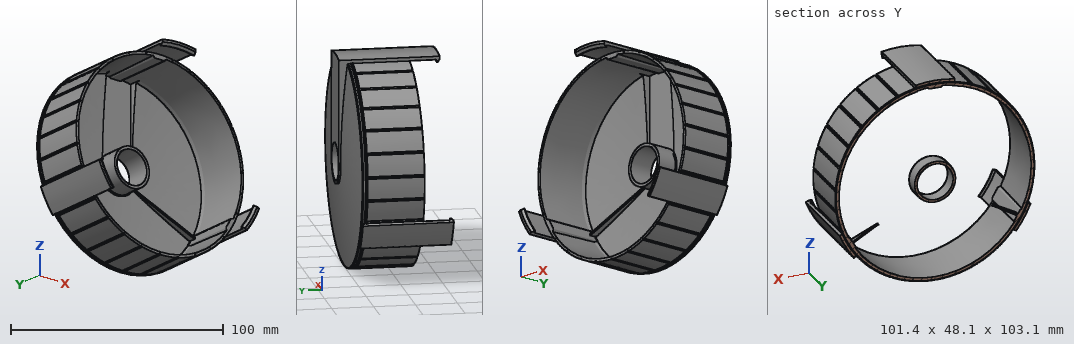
import cadquery as cq
import math


DRUM_R = 50.7
RIM_INNER_R = 49.4
ROOT_INNER_R = 49.0
FLANGE_BACK_Y = 29.8
FLANGE_CHAMFER = 0.5
RING_GROOVE_Y = 27.7
V_GROOVE_WIDTH = 1.1
V_GROOVE_DEPTH = 0.5
GROOVE_PITCH = 12.7
GROOVES_PER_SIDE = 4

DOME_RISE = 3.3
END_THICKNESS = 1.3
LEDGE_R = 48.6
LEDGE_FRONT_Y = 26.5
LEDGE_BACK_Y = 28.1

BORE_R = 18.0 / 2
HUB_R = 21.0 / 2
HUB_FRONT_Y = 20.7
HUB_FLARE = 0.5
BACK_Y = 33.8
BOX_FLOOR = 1.0

CLIP_OUTER_R = 52.4
CLIP_TIP_Y = -14.3
HOOK_R = 49.6
HOOK_START_Y = -12.4
HOOK_CREST_START_Y = -12.9
HOOK_CREST_END_Y = -13.3
TIP_THICKNESS = 1.3
TOP_CLIP_WIDTH = 20.1
SIDE_CLIP_WIDTH = 14.6
SIDE_CLIP_BACK_Y = 29.1

BAR_R = 48.2
BAR_WIDTH = 6.0
BAR_FILLET = 0.4
SPOKE_WIDTH = 0.9
SPOKE_HUB_Y = 31.5
SPOKE_RIM_Y = 25.0

DOME_EDGE_R = DRUM_R - FLANGE_CHAMFER
DOME_Y = FLANGE_BACK_Y + DOME_RISE
DOME_SPHERE_R = (DOME_EDGE_R**2 + DOME_RISE**2) / (2 * DOME_RISE)
DOME_CENTER_Y = DOME_Y - DOME_SPHERE_R
DOME_INNER_SPHERE_R = DOME_SPHERE_R - END_THICKNESS
BOX_FLOOR_Y = BACK_Y - BOX_FLOOR
AXIS_START = (0, 0, 0)
AXIS_END = (0, 1, 0)


def sphere_y(sphere_r, radius):
    """Y of a sphere centred on the dome's centre, at a distance from the part's axis."""
    return DOME_CENTER_Y + math.sqrt(sphere_r**2 - radius**2)


def revolved(outline):
    """Turn a closed (radius, y) outline around the part's axis."""
    return outline.close().revolve(360, AXIS_START, AXIS_END)


def revolved_polygon(points):
    return revolved(cq.Workplane("XY").polyline(points))


def revolved_cup(side_points, sphere_r):
    """Solid from y = 0 with the given (radius, y) side, closed by a spherical cap."""
    edge_r = side_points[-1][0]
    middle = (edge_r / 2, sphere_y(sphere_r, edge_r / 2))
    top = (0, sphere_y(sphere_r, 0))
    outline = cq.Workplane("XY").moveTo(0, 0)
    for radius, y in side_points:
        outline = outline.lineTo(radius, y)
    return revolved(outline.threePointArc(middle, top))


def cylinder(radius, y_start, y_end):
    return cq.Workplane("XZ", origin=(0, y_start, 0)).circle(radius).extrude(y_start - y_end)


def extruded(points, y_start, y_end):
    """Extrude a closed (x, z) outline along Y."""
    return cq.Workplane("XZ", origin=(0, y_start, 0)).polyline(points).close().extrude(y_start - y_end)


def block(width, z_low, z_high, y_start, y_end):
    half = width / 2
    return extruded([(-half, z_low), (half, z_low), (half, z_high), (-half, z_high)], y_start, y_end)


def turned(body, angle):
    """Turn a body from the top position around the part's axis."""
    return body.rotate(AXIS_START, AXIS_END, angle)


def drum_blank():
    """Solid drum with a chamfered flange edge and a domed back."""
    side = [(DRUM_R, 0), (DRUM_R, FLANGE_BACK_Y - FLANGE_CHAMFER), (DOME_EDGE_R, FLANGE_BACK_Y)]
    return revolved_cup(side, DOME_SPHERE_R)


def drum_cavity():
    """Drafted inside of the drum, with a sloped ledge below the dome."""
    side = [
        (RIM_INNER_R, 0),
        (ROOT_INNER_R, LEDGE_FRONT_Y),
        (LEDGE_R, LEDGE_BACK_Y),
        (LEDGE_R, sphere_y(DOME_INNER_SPHERE_R, LEDGE_R)),
    ]
    return revolved_cup(side, DOME_INNER_SPHERE_R)


def ring_groove():
    half = V_GROOVE_WIDTH / 2
    return revolved_polygon([
        (DRUM_R, RING_GROOVE_Y - half),
        (DRUM_R - V_GROOVE_DEPTH, RING_GROOVE_Y),
        (DRUM_R, RING_GROOVE_Y + half),
        (DRUM_R + half, RING_GROOVE_Y),
    ])


def wall_groove():
    half = V_GROOVE_WIDTH / 2
    outline = [(-half, DRUM_R), (0, DRUM_R - V_GROOVE_DEPTH), (half, DRUM_R), (0, DRUM_R + half)]
    return extruded(outline, 0, RING_GROOVE_Y)


def box():
    """Flat-backed box from the hub up to the top clip."""
    outside = block(TOP_CLIP_WIDTH, 0, CLIP_OUTER_R, LEDGE_BACK_Y, BACK_Y)
    return outside.intersect(cylinder(CLIP_OUTER_R, LEDGE_BACK_Y, BACK_Y))


def box_recess():
    """Flat-floored channel inside the box, as wide as the bore."""
    channel = block(2 * BORE_R, 0, DRUM_R, 0, BOX_FLOOR_Y)
    return channel.intersect(cylinder(ROOT_INNER_R, 0, BOX_FLOOR_Y))


def hub_flare():
    """Small cone where the hub meets the underside of the dome."""
    dome_y = sphere_y(DOME_INNER_SPHERE_R, HUB_R)
    return revolved_polygon([
        (BORE_R, dome_y - HUB_FLARE),
        (HUB_R, dome_y - HUB_FLARE),
        (HUB_R + HUB_FLARE, dome_y),
        (HUB_R + HUB_FLARE, dome_y + END_THICKNESS / 2),
        (BORE_R, dome_y + END_THICKNESS / 2),
    ])


def spoke():
    """Thin web from hub to wall that grows taller toward the wall."""
    return (
        cq.Workplane("YZ", origin=(-SPOKE_WIDTH / 2, 0, 0))
        .polyline([
            (SPOKE_HUB_Y, HUB_R),
            (SPOKE_RIM_Y, BAR_R),
            (sphere_y(DOME_SPHERE_R, BAR_R) - END_THICKNESS / 2, BAR_R),
            (sphere_y(DOME_SPHERE_R, HUB_R) - END_THICKNESS / 2, HUB_R),
        ])
        .close()
        .extrude(SPOKE_WIDTH)
    )


def clip(width, back_y):
    """Curved leg on the drum wall with an inward hook at its tip."""
    ring = revolved_polygon([
        (DRUM_R, back_y),
        (DRUM_R, HOOK_START_Y),
        (HOOK_R, HOOK_CREST_START_Y),
        (HOOK_R, HOOK_CREST_END_Y),
        (CLIP_OUTER_R - TIP_THICKNESS, CLIP_TIP_Y),
        (CLIP_OUTER_R, CLIP_TIP_Y),
        (CLIP_OUTER_R, back_y),
    ])
    return ring.intersect(block(width, 0, CLIP_OUTER_R, CLIP_TIP_Y, back_y))


def wall_bar(back_y):
    """Bar along the inside of the wall with 45 degree flanks and rounded edges."""
    half = BAR_WIDTH / 2
    root_r = (DRUM_R + RIM_INNER_R) / 2
    root_half = half + root_r - BAR_R
    outline = [(-half, BAR_R), (half, BAR_R), (root_half, root_r), (-root_half, root_r)]
    return extruded(outline, 0, back_y).edges("|Y and <Z").fillet(BAR_FILLET)


body = drum_blank().cut(ring_groove())
for side_angle in (60, 180, 300):
    for step in range(-GROOVES_PER_SIDE, GROOVES_PER_SIDE + 1):
        body = body.cut(turned(wall_groove(), side_angle + step * GROOVE_PITCH))

body = body.union(box()).cut(drum_cavity())
body = body.union(hub_flare()).cut(box_recess())
body = body.union(cylinder(HUB_R, HUB_FRONT_Y, BACK_Y))

body = body.union(clip(TOP_CLIP_WIDTH, BACK_Y)).union(wall_bar(BOX_FLOOR_Y))
for angle in (120, 240):
    body = body.union(turned(clip(SIDE_CLIP_WIDTH, SIDE_CLIP_BACK_Y), angle))
    body = body.union(turned(wall_bar(FLANGE_BACK_Y - END_THICKNESS), angle))
    body = body.union(turned(spoke(), angle))

result = body.cut(cylinder(BORE_R, 0, BACK_Y))